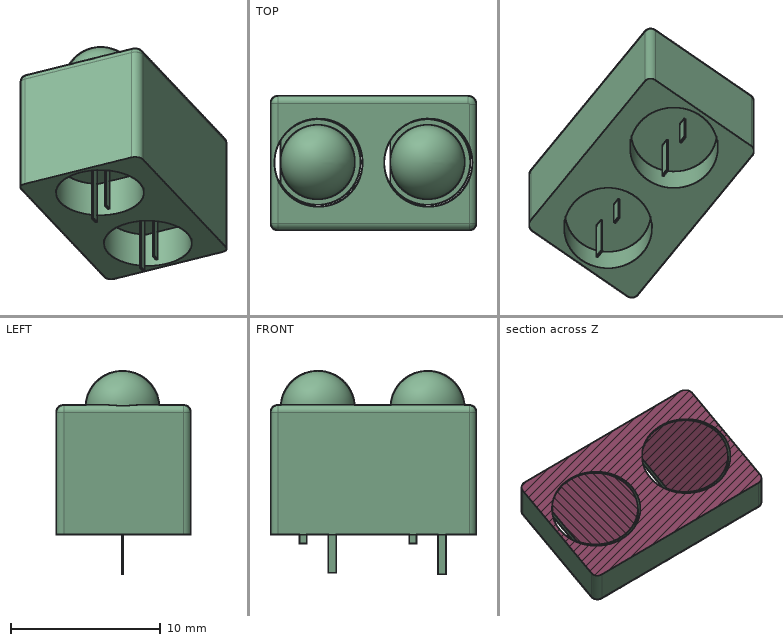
import cadquery as cq

HOUSING_LENGTH = 13.82
HOUSING_WIDTH = 9.04
HOUSING_HEIGHT = 8.7
EDGE_RADIUS = 0.5
BACK_RIGHT_RADIUS = 0.58
BORE_DIAMETER = 5.9

LED_PITCH = 7.37
FIRST_LED_X = -3.75
LED_Y = 0.07
BORE_OFFSET_X = 0.05
BORE_OFFSET_Y = -0.04
LED_XS = [FIRST_LED_X, FIRST_LED_X + LED_PITCH]

LENS_DIAMETER = 5.0
LENS_RADIUS = LENS_DIAMETER / 2
FLANGE_DIAMETER = 5.76
FLANGE_HEIGHT = 1.0
LED_HEIGHT = 8.6
LENS_TOP_Z = 11.0
LED_BASE_Z = LENS_TOP_Z - LED_HEIGHT
LENS_CENTER_Z = LENS_TOP_Z - LENS_RADIUS

LEAD_OFFSET = 0.98
LEAD_THICKNESS = 0.11
SHORT_LEAD_WIDTH = 0.5
LONG_LEAD_WIDTH = 0.55
SHORT_LEAD_BOTTOM_Z = -0.6
LONG_LEAD_BOTTOM_ZS = [-2.55, -2.67]


def make_housing():
    """Block with rounded upright and top edges and one through bore per LED."""
    block = cq.Workplane("XY").box(
        HOUSING_LENGTH, HOUSING_WIDTH, HOUSING_HEIGHT, centered=(True, True, False)
    )
    block = block.edges("|Z and >(1, 1, 0)").fillet(BACK_RIGHT_RADIUS)
    block = block.edges("|Z and (<X or <Y)").fillet(EDGE_RADIUS)
    block = block.faces(">Z").edges().fillet(EDGE_RADIUS)
    bore_centers = [(x + BORE_OFFSET_X, LED_Y + BORE_OFFSET_Y) for x in LED_XS]
    bores = (
        cq.Workplane("XY")
        .pushPoints(bore_centers)
        .circle(BORE_DIAMETER / 2)
        .extrude(HOUSING_HEIGHT)
    )
    return block.cut(bores)


def make_led(x):
    """LED with a domed lens and a flange flattened on its -X side."""
    flat_trim = (
        cq.Workplane("XY", origin=(x - LENS_RADIUS, LED_Y, LED_BASE_Z))
        .box(FLANGE_DIAMETER, FLANGE_DIAMETER, FLANGE_HEIGHT, centered=(False, True, False))
    )
    flange = (
        cq.Workplane("XY", origin=(x, LED_Y, LED_BASE_Z))
        .circle(FLANGE_DIAMETER / 2)
        .extrude(FLANGE_HEIGHT)
        .intersect(flat_trim)
    )
    lens = (
        cq.Workplane("XZ", origin=(x, LED_Y, 0))
        .moveTo(0, LED_BASE_Z)
        .lineTo(LENS_RADIUS, LED_BASE_Z)
        .lineTo(LENS_RADIUS, LENS_CENTER_Z)
        .radiusArc((0, LENS_TOP_Z), -LENS_RADIUS)
        .close()
        .revolve(360, (0, 0, 0), (0, 1, 0))
    )
    return flange.union(lens)


def make_lead(x, width, bottom_z):
    """Flat lead from the LED base down to bottom_z."""
    return (
        cq.Workplane("XY", origin=(x, LED_Y, bottom_z))
        .rect(width, LEAD_THICKNESS)
        .extrude(LED_BASE_Z - bottom_z)
    )


housing = make_housing()
leds = [make_led(x) for x in LED_XS]
short_leads = [make_lead(x - LEAD_OFFSET, SHORT_LEAD_WIDTH, SHORT_LEAD_BOTTOM_Z) for x in LED_XS]
long_leads = [
    make_lead(x + LEAD_OFFSET, LONG_LEAD_WIDTH, bottom_z)
    for x, bottom_z in zip(LED_XS, LONG_LEAD_BOTTOM_ZS)
]

bodies = [housing, *leds, *short_leads, *long_leads]
result = cq.Compound.makeCompound([body.val() for body in bodies])